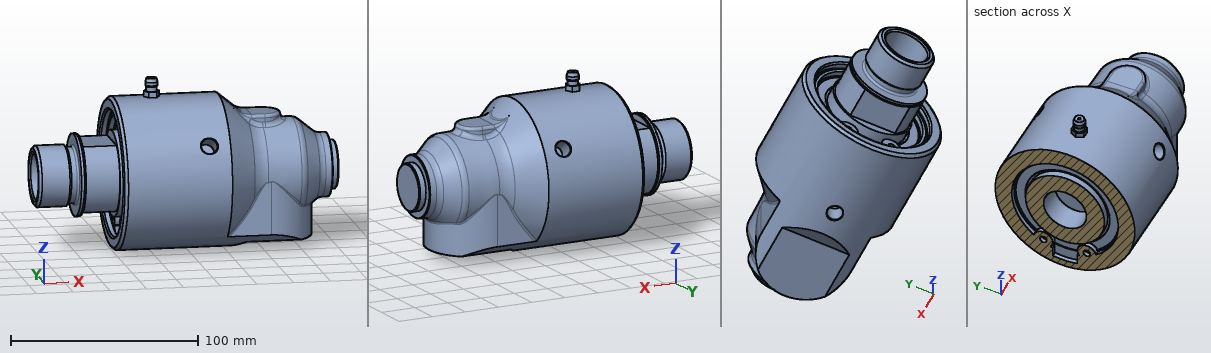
import cadquery as cq
import math

thread_radius = 33.25 / 2
thread_length = 16.6
thread_chamfer = 1.5
relief_radius = 30.29 / 2
relief_ramp = 1.2
collar_start = 21.8
collar_radius = 44.65 / 2
collar_end = 23.5
collar_groove_depth = 0.4
flats_start = 24.3
flats_end = 42.6
flats_height = 36.0
shoulder_radius = 23.4
bore_radius = 25 / 2
bore_chamfer = 0.9
bore_depth = 60

barrel_start = 41.9
barrel_radius = 82.6 / 2
barrel_chamfer_length = 1.7
barrel_chamfer_height = 1.5
barrel_end = 100.2
shoulder_cone_end = (114.6, 29.6)
neck_start = (122.5, 27.0)
neck_end = (140.7, 26.55)
tail_cone_start = (144.2, 25.1)
tail_cone_end = (152.0, 18.8)
tail_radius = 17.4
tail_start = 155.5
tail_end = 159.6
tail_edge = 0.5
plug_radius = 13.2
plug_edge = 0.6
total_length = 163.6

opening_radius = 68.1 / 2
opening_chamfer = 0.9
groove_radius = 73.8 / 2
ring_front = 45.5
ring_thickness = 3.0
ring_inner_radius = 31.25
ring_bevel_radius = 33.0
ring_bevel_depth = 0.4
ring_gap = 14.3
lug_radius = 5.65
lug_hole_radius = 3.72 / 2
lug_offset_y = 12.8
lug_offset_z = -26.75
seat_radius = 60.73 / 2
seat_depth = 49.0
clearance_radius = 49.77 / 2
clearance_depth = 49.8

radial_hole_x = 88.67
radial_hole_radius = 8.6 / 2
radial_hole_mouth_radius = 9.5 / 2
radial_hole_depth = 11.0
radial_hole_angles = (30, 150, 270)

boss_center_x = 123.9
boss_radius = 26.87
boss_bottom = -36.2
boss_slope_start = 103.3
boss_slope_angle = 30
boss_fillet = 1.5
pad_radius = 10.1
pad_top = 30.96
pad_root = 20.0
pad_flat_start = 116.6
pad_sweep_radius = 14.0
pad_sweep_length = 9.5
pad_edge_fillet = 1.8
pad_foot_fillet = 3.0

nipple_x = 64.1
nipple_hex_corner = 8.5
nipple_hex_top = 44.2
nipple_root_depth = 1.0
nipple_neck_radius = 2.9
nipple_head_radius = 3.4
nipple_tip_radius = 5.36 / 2
nipple_head_bottom = 46.7
nipple_head_mid_low = 47.5
nipple_head_mid_high = 49.2
nipple_top = 51.29
nipple_hole_radius = 0.75
nipple_hole_depth = 2.0


def turn(profile):
    """Revolve a closed (x, radius) profile about the X axis."""
    return profile.close().revolve(360, (0, 0, 0), (1, 0, 0))


def disc(start, end, radius):
    """Cylinder on the X axis between two X positions."""
    return cq.Workplane("YZ").workplane(offset=start).circle(radius).extrude(end - start)


def make_housing():
    profile = (
        cq.Workplane("XY")
        .moveTo(barrel_start, 0)
        .lineTo(barrel_start, barrel_radius - barrel_chamfer_height)
        .lineTo(barrel_start + barrel_chamfer_length, barrel_radius)
        .lineTo(barrel_end, barrel_radius)
        .lineTo(*shoulder_cone_end)
        .tangentArcPoint(neck_start, relative=False)
        .lineTo(*neck_end)
        .tangentArcPoint(tail_cone_start, relative=False)
        .lineTo(*tail_cone_end)
        .tangentArcPoint((tail_start, tail_radius), relative=False)
        .lineTo(tail_end - tail_edge, tail_radius)
        .lineTo(tail_end, tail_radius - tail_edge)
        .lineTo(tail_end, plug_radius)
        .lineTo(total_length - plug_edge, plug_radius)
        .lineTo(total_length, plug_radius - plug_edge)
        .lineTo(total_length, 0)
    )
    return turn(profile)


def make_tongue(half_width, height):
    """Upright block from the end of the barrel to a rounded end, standing on (or under) Z = 0."""
    return (
        cq.Workplane("XY")
        .moveTo(barrel_end, -half_width)
        .lineTo(boss_center_x, -half_width)
        .threePointArc((boss_center_x + half_width, 0), (boss_center_x, half_width))
        .lineTo(barrel_end, half_width)
        .close()
        .extrude(height)
    )


def make_boss():
    plan = make_tongue(boss_radius, -barrel_radius)
    boss_end = boss_center_x + boss_radius
    slope_run = (barrel_radius + boss_bottom) / math.tan(math.radians(boss_slope_angle))
    side = (
        cq.Workplane("XZ")
        .moveTo(barrel_end, 0)
        .lineTo(barrel_end, -barrel_radius)
        .lineTo(boss_slope_start, -barrel_radius)
        .lineTo(boss_slope_start + slope_run, boss_bottom)
        .lineTo(boss_end, boss_bottom)
        .lineTo(boss_end, 0)
        .close()
        .extrude(boss_radius, both=True)
    )
    return plan.intersect(side).intersect(disc(barrel_end, boss_end, barrel_radius))


def make_pad():
    """Raised pad whose flat top sweeps up into the shoulder cone on an arc, with a rounded rim."""
    rise = pad_sweep_radius - math.sqrt(pad_sweep_radius**2 - pad_sweep_length**2)
    pad_start = pad_flat_start - pad_sweep_length
    pad_end = boss_center_x + 2 * pad_radius
    side = (
        cq.Workplane("XZ")
        .moveTo(pad_start, pad_root)
        .lineTo(pad_start, pad_top + rise)
        .radiusArc((pad_flat_start, pad_top), -pad_sweep_radius)
        .lineTo(pad_end, pad_top)
        .lineTo(pad_end, pad_root)
        .close()
        .extrude(pad_radius, both=True)
    )
    blank = make_tongue(pad_radius, 2 * pad_top).intersect(side)
    rim = cq.selectors.BoxSelector(
        (pad_start, -2 * pad_radius, pad_top - pad_edge_fillet), (pad_end, 2 * pad_radius, pad_top + rise)
    )
    return blank.edges("not(|Y)").edges(rim).fillet(pad_edge_fillet)


def add_boss(body):
    """Join the boss and round its seam with the shoulder and neck."""
    wall_bottom = -math.sqrt(barrel_radius**2 - boss_radius**2)
    seam = cq.selectors.BoxSelector(
        (barrel_end, -2 * boss_radius, wall_bottom), (boss_center_x + boss_radius, 2 * boss_radius, 0)
    )
    joined = body.union(make_boss())
    return joined.edges("not(%LINE or %CIRCLE)").edges(seam).fillet(boss_fillet)


def add_pad(body):
    """Join the pad and round its foot, except where its top runs out into the shoulder cone."""
    foot = cq.selectors.BoxSelector(
        (pad_flat_start - pad_sweep_length, -2 * pad_radius, pad_root),
        (boss_center_x + 2 * pad_radius, 2 * pad_radius, pad_top - pad_edge_fillet),
    )
    joined = body.union(make_pad())
    return joined.edges("%BSPLINE or %HYPERBOLA").edges(foot).fillet(pad_foot_fillet)


def cut_recess(body):
    opening = turn(
        cq.Workplane("XY")
        .moveTo(barrel_start, 0)
        .lineTo(barrel_start, opening_radius + opening_chamfer)
        .lineTo(barrel_start + opening_chamfer, opening_radius)
        .lineTo(ring_front, opening_radius)
        .lineTo(ring_front, groove_radius)
        .lineTo(ring_front + ring_thickness, groove_radius)
        .lineTo(ring_front + ring_thickness, seat_radius)
        .lineTo(seat_depth, seat_radius)
        .lineTo(seat_depth, clearance_radius)
        .lineTo(clearance_depth, clearance_radius)
        .lineTo(clearance_depth, 0)
    )
    return body.cut(opening)


def make_retaining_ring():
    """Snap ring with a gap at the bottom and a drilled lug on each side of it."""
    ring_back = ring_front + ring_thickness
    blank = turn(
        cq.Workplane("XY")
        .moveTo(ring_front, 0)
        .lineTo(ring_front, ring_bevel_radius)
        .lineTo(ring_front + ring_bevel_depth, opening_radius)
        .lineTo(ring_front + ring_bevel_depth, groove_radius)
        .lineTo(ring_back, groove_radius)
        .lineTo(ring_back, 0)
    )
    lug_centers = [(side * lug_offset_y, lug_offset_z) for side in (-1, 1)]
    plane = cq.Workplane("YZ").workplane(offset=ring_front)
    window = plane.circle(ring_inner_radius).extrude(ring_thickness)
    window = window.cut(plane.pushPoints(lug_centers).circle(lug_radius).extrude(ring_thickness))
    gap = plane.center(0, -groove_radius / 2).rect(ring_gap, groove_radius).extrude(ring_thickness)
    holes = plane.pushPoints(lug_centers).circle(lug_hole_radius).extrude(ring_thickness)
    return blank.cut(window).cut(gap).cut(holes)


def make_rotor():
    profile = (
        cq.Workplane("XY")
        .moveTo(0, 0)
        .lineTo(0, thread_radius - thread_chamfer)
        .lineTo(thread_chamfer, thread_radius)
        .lineTo(thread_length, thread_radius)
        .lineTo(thread_length + relief_ramp, relief_radius)
        .lineTo(collar_start - relief_ramp, relief_radius)
        .tangentArcPoint((collar_start, relief_radius + relief_ramp), relative=False)
        .lineTo(collar_start, collar_radius)
        .lineTo(collar_end, collar_radius)
        .lineTo(collar_end, collar_radius - collar_groove_depth)
        .lineTo(flats_start, collar_radius - collar_groove_depth)
        .lineTo(flats_start, collar_radius)
        .lineTo(flats_end, collar_radius)
        .lineTo(flats_end, shoulder_radius)
        .lineTo(clearance_depth, shoulder_radius)
        .lineTo(clearance_depth, 0)
    )
    rotor = turn(profile)
    flat_depth = collar_radius - flats_height / 2
    flat_center_z = (flats_height + flat_depth) / 2
    cutter = cq.Workplane("XY").box(
        flats_end - flats_start, 2 * collar_radius, flat_depth, centered=(False, True, True)
    )
    for side in (-1, 1):
        rotor = rotor.cut(cutter.translate((flats_start, 0, side * flat_center_z)))
    return rotor


def make_bore():
    return turn(
        cq.Workplane("XY")
        .moveTo(0, 0)
        .lineTo(0, bore_radius + bore_chamfer)
        .lineTo(bore_chamfer, bore_radius)
        .lineTo(bore_depth, bore_radius)
        .lineTo(bore_depth, 0)
    )


def make_radial_hole(angle):
    """Blind hole with a countersunk mouth, at an angle from +Y towards +Z."""
    mouth_depth = radial_hole_mouth_radius - radial_hole_radius
    hole = (
        cq.Workplane("XZ")
        .moveTo(0, barrel_radius - radial_hole_depth)
        .lineTo(radial_hole_radius, barrel_radius - radial_hole_depth)
        .lineTo(radial_hole_radius, barrel_radius - mouth_depth)
        .lineTo(radial_hole_mouth_radius, barrel_radius)
        .lineTo(0, barrel_radius)
        .close()
        .revolve(360, (0, 0, 0), (0, 1, 0))
    )
    return hole.rotate((0, 0, 0), (1, 0, 0), angle - 90).translate((radial_hole_x, 0, 0))


def make_nipple():
    hex_bottom = barrel_radius - nipple_root_depth
    hexagon = (
        cq.Workplane("XY")
        .workplane(offset=hex_bottom)
        .polygon(6, nipple_hex_corner)
        .extrude(nipple_hex_top - hex_bottom)
    )
    stem = (
        cq.Workplane("XZ")
        .moveTo(0, barrel_radius)
        .lineTo(nipple_neck_radius, barrel_radius)
        .lineTo(nipple_neck_radius, nipple_head_bottom)
        .lineTo(nipple_head_radius, nipple_head_mid_low)
        .lineTo(nipple_head_radius, nipple_head_mid_high)
        .lineTo(nipple_tip_radius, nipple_top)
        .lineTo(nipple_hole_radius, nipple_top)
        .lineTo(nipple_hole_radius, nipple_top - nipple_hole_depth)
        .lineTo(0, nipple_top - nipple_hole_depth)
        .close()
        .revolve(360, (0, 0, 0), (0, 1, 0))
    )
    return hexagon.union(stem).translate((nipple_x, 0, 0))


result = add_pad(add_boss(make_housing()))
result = cut_recess(result)
for hole_angle in radial_hole_angles:
    result = result.cut(make_radial_hole(hole_angle))
result = result.union(make_retaining_ring()).union(make_rotor()).cut(make_bore()).union(make_nipple())